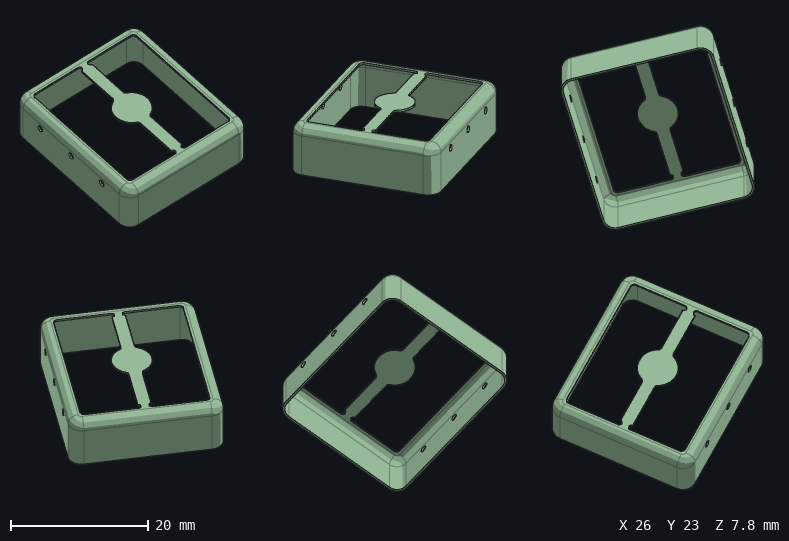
import cadquery as cq

length = 26.0
width = 23.0
height = 7.8
corner_radius = 2.0
top_fillet = 1.5

wall = 0.3
cavity_radius = corner_radius - wall

rim_offset = 1.9
opening_length = length - 2 * rim_offset
opening_width = width - 2 * rim_offset
opening_radius = 0.6

disc_diameter = 5.98
bar_width = 2.0
blend_radius = 0.5
notch_radius = 0.42

hole_diameter = 1.0
hole_count = 3
hole_spacing = 7.02
hole_drop = 2.5


def rounded_block(size_x, size_y, size_z, radius):
    """Block standing on Z = 0 with rounded vertical edges."""
    block = cq.Workplane("XY").box(size_x, size_y, size_z, centered=(True, True, False))
    return block.edges("|Z").fillet(radius)


def domed_block(size_x, size_y, size_z, side_radius, top_radius):
    """Rounded block whose top edge is rounded as well."""
    return rounded_block(size_x, size_y, size_z, side_radius).faces(">Z").edges().fillet(top_radius)


def make_shell():
    """Thin cover, hollow underneath, with its top edge rounded inside and out."""
    outer = domed_block(length, width, height, corner_radius, top_fillet)
    cavity = domed_block(
        length - 2 * wall,
        width - 2 * wall,
        height - wall,
        cavity_radius,
        top_fillet - wall,
    )
    return outer.cut(cavity)


def make_button():
    """Disc and bar in one sheet, blended together and notched at the bar ends."""
    bar = cq.Workplane("XY").box(opening_length, bar_width, height, centered=(True, True, False))
    disc = cq.Workplane("XY").circle(disc_diameter / 2).extrude(height)
    inner_corners = cq.selectors.BoxSelector(
        (-disc_diameter / 2, -bar_width, -height),
        (disc_diameter / 2, bar_width, 2 * height),
    )
    button = bar.union(disc).edges("|Z").edges(inner_corners).fillet(blend_radius)
    notch_x = opening_length / 2 - notch_radius
    notches = (
        cq.Workplane("XY")
        .rect(2 * notch_x, bar_width, forConstruction=True)
        .vertices()
        .circle(notch_radius)
        .extrude(height)
    )
    return button.cut(notches)


def make_side_holes():
    """Row of round holes running through both long walls."""
    return (
        cq.Workplane("XZ", origin=(0, 0, height - hole_drop))
        .rarray(hole_spacing, 0.25, hole_count, 1)
        .circle(hole_diameter / 2)
        .extrude(width, both=True)
    )


opening = rounded_block(opening_length, opening_width, height, opening_radius).cut(make_button())
result = make_shell().cut(opening).cut(make_side_holes())